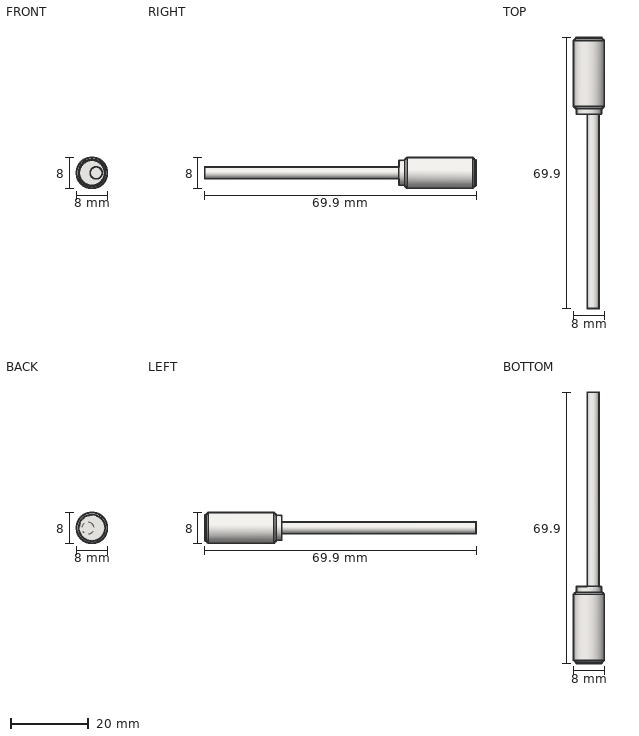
import cadquery as cq

total_length = 69.9
housing_length = 19.9
housing_radius = 4.0

rear_bevel_height = 0.6
rear_bevel_length = 0.5
rear_edge_round = 0.4

shoulder_radius = 3.45
shoulder_length = 0.6
collar_radius = 3.25
collar_length = 1.5
collar_edge_round = 0.3

cable_diameter = 3.1
cable_offset_x = 1.1

cable_length = total_length - housing_length
shoulder_end = collar_length + shoulder_length
rear_round_start = housing_length - rear_edge_round
rear_bevel_start = rear_round_start - rear_bevel_length
rear_round_radius = housing_radius - rear_bevel_height
rear_face_radius = rear_round_radius - rear_edge_round
collar_face_radius = collar_radius - collar_edge_round


def make_housing():
    """Turned body: half section of (position along Y, radius) revolved about the Y axis."""
    half_section = (
        cq.Workplane("YZ")
        .lineTo(0, collar_face_radius)
        .radiusArc((collar_edge_round, collar_radius), collar_edge_round)
        .lineTo(collar_length, collar_radius)
        .lineTo(collar_length, shoulder_radius)
        .lineTo(shoulder_end, housing_radius)
        .lineTo(rear_bevel_start, housing_radius)
        .lineTo(rear_round_start, rear_round_radius)
        .radiusArc((housing_length, rear_face_radius), rear_edge_round)
        .lineTo(housing_length, 0)
        .close()
    )
    return half_section.revolve(360, (0, 0, 0), (1, 0, 0))


def make_cable():
    """Straight round cable leaving the collar face towards -Y, beside the housing axis."""
    return (
        cq.Workplane("XZ")
        .center(cable_offset_x, 0)
        .circle(cable_diameter / 2)
        .extrude(cable_length)
    )


result = make_housing().union(make_cable())